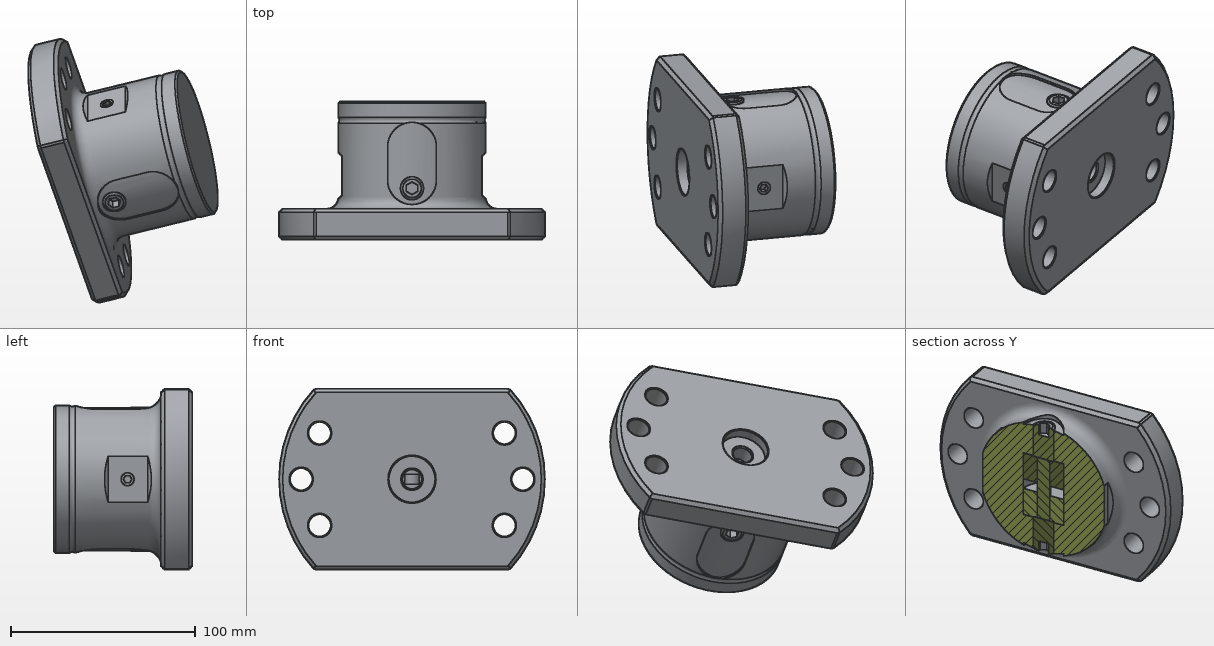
import cadquery as cq
import math

length = 75.0

flange_radius = 72.0
flange_height = 98.0
flange_thickness = 17.0
flange_chamfer = 2.0
flange_corner_chamfer = 0.8

bolt_hole_diameter = 12.0
bolt_hole_chamfer = 0.5
bolt_hole_places = [(50, 25), (60, 0), (50, -25)]

barrel_radius = 40.0
barrel_root_fillet = 6.0
barrel_chamfer = 1.0

groove_width = 3.2
groove_depth = 0.55
groove_position = 64.9

recess_diameter = 25.0
recess_depth = 6.0
recess_chamfer = 0.5
bore_diameter = 10.5
bore_chamfer = 0.75

clamp_position = 28.0
jaw_diameter = 25.0
jaw_gap = 5.6
jaw_height = 16.0
cavity_height = jaw_gap + 2 * jaw_height
spindle_diameter = 8.0

oval_width = 26.4
oval_length = 44.5
oval_position = 41.45
oval_floor_radius = 38.75
clamp_screw_diameter = 12.5
clamp_screw_tip_diameter = 10.0
clamp_screw_end = 38.95
clamp_screw_chamfer_height = 0.9
clamp_screw_hex = 6.0
clamp_screw_hex_depth = 6.0
clamp_screw_start = cavity_height / 2

flat_position = 34.85
flat_length = 21.3
flat_distance = 38.0
set_screw_position = 35.0
set_screw_diameter = 7.0
set_screw_length = 12.0
set_screw_hex = 4.0
set_screw_hex_depth = 4.0


def y_cylinder(diameter, start, end):
    """Cylinder on the main axis from Y = start to Y = end."""
    plane = cq.Workplane("XZ", origin=(0, start, 0))
    return plane.circle(diameter / 2).extrude(start - end)


def z_cylinder(diameter, position, start, end):
    """Upright cylinder at Y = position, from Z = start to Z = end."""
    plane = cq.Workplane("XY", origin=(0, position, start))
    return plane.circle(diameter / 2).extrude(end - start)


def x_cylinder(diameter, position, start, end):
    """Cylinder along X at Y = position, from X = start to X = end."""
    plane = cq.Workplane("YZ", origin=(start, position, 0))
    return plane.circle(diameter / 2).extrude(end - start)


def y_countersink(diameter, chamfer, start):
    """Cone that chamfers the rim of a hole whose mouth lies at Y = start."""
    return cq.Workplane(
        cq.Solid.makeCone(
            diameter / 2 + chamfer, diameter / 2, chamfer, cq.Vector(0, start, 0), cq.Vector(0, 1, 0)
        )
    )


def half_turn(body):
    """Copy of a body on the opposite side of the main axis."""
    return body.rotate((0, 0, 0), (0, 1, 0), 180)


def hex_corner_diameter(across_flats):
    return across_flats / math.cos(math.pi / 6)


def make_flange():
    disc = y_cylinder(2 * flange_radius, 0, flange_thickness)
    bar = cq.Workplane("XY").box(2 * flange_radius, 2 * flange_thickness, flange_height)
    flange = disc.intersect(bar)
    flange = flange.edges("|Y").edges("<Z or >Z").chamfer(flange_corner_chamfer)
    return flange.faces("<Y or >Y").edges().chamfer(flange_chamfer)


def make_barrel():
    """Barrel with the hollow fillet at its root, as a revolved half section."""
    root_end = flange_thickness + barrel_root_fillet
    root_radius = barrel_radius + barrel_root_fillet
    sag = barrel_root_fillet * math.sqrt(0.5)
    return (
        cq.Workplane("XY")
        .moveTo(0, 0)
        .lineTo(root_radius, 0)
        .lineTo(root_radius, flange_thickness)
        .threePointArc((root_radius - sag, root_end - sag), (barrel_radius, root_end))
        .lineTo(barrel_radius, length - barrel_chamfer)
        .lineTo(barrel_radius - barrel_chamfer, length)
        .lineTo(0, length)
        .close()
        .revolve(360, (0, 0, 0), (0, 1, 0))
    )


def make_bolt_holes():
    hole = y_cylinder(bolt_hole_diameter, 0, flange_thickness)
    hole = hole.union(y_countersink(bolt_hole_diameter, bolt_hole_chamfer, 0))
    holes = cq.Workplane()
    for x, z in bolt_hole_places:
        for side in (-1, 1):
            holes = holes.add(hole.translate((side * x, 0, z)))
    return holes.combine()


def make_centre_bore():
    recess = y_cylinder(recess_diameter, 0, recess_depth)
    recess = recess.union(y_countersink(recess_diameter, recess_chamfer, 0))
    bore = y_cylinder(bore_diameter, recess_depth, clamp_position)
    bore = bore.union(y_countersink(bore_diameter, bore_chamfer, recess_depth))
    return recess.union(bore)


def make_barrel_groove():
    """Ring with the arc-shaped groove section."""
    half = groove_width / 2
    return (
        cq.Workplane("XY")
        .moveTo(barrel_radius, groove_position - half)
        .threePointArc(
            (barrel_radius - groove_depth, groove_position), (barrel_radius, groove_position + half)
        )
        .close()
        .revolve(360, (0, 0, 0), (0, 1, 0))
    )


def make_oval_recess():
    """Oval pocket above the barrel, with a floor concentric with the barrel."""
    oval = (
        cq.Workplane("XY", origin=(0, oval_position, 0))
        .slot2D(oval_length, oval_width, 90)
        .extrude(barrel_radius + barrel_root_fillet)
    )
    return oval.cut(y_cylinder(2 * oval_floor_radius, 0, length))


def make_flat():
    """Cutter for the flat on the +X side, whose two ends rise at 45 degrees."""
    height = barrel_root_fillet
    half = flat_length / 2
    return (
        cq.Workplane("XY", origin=(flat_distance, flat_position, 0))
        .polyline([(0, -half), (0, half), (height, half + height), (height, -half - height)])
        .close()
        .extrude(barrel_radius, both=True)
    )


def make_housing():
    screw_hole = z_cylinder(clamp_screw_diameter, clamp_position, clamp_screw_start, barrel_radius)
    set_screw_hole = x_cylinder(
        set_screw_diameter, set_screw_position, flat_distance - set_screw_length, flat_distance
    )
    housing = make_flange().union(make_barrel())
    housing = housing.cut(make_bolt_holes()).cut(make_centre_bore()).cut(make_barrel_groove())
    housing = housing.cut(z_cylinder(jaw_diameter, clamp_position, -cavity_height / 2, cavity_height / 2))
    for cutter in (make_oval_recess(), make_flat(), screw_hole, set_screw_hole):
        housing = housing.cut(cutter).cut(half_turn(cutter))
    return housing


def make_jaw():
    """Upper clamping jaw with the spindle hole through it."""
    bottom = jaw_gap / 2
    top = cavity_height / 2
    jaw = z_cylinder(jaw_diameter, clamp_position, bottom, top)
    return jaw.cut(z_cylinder(spindle_diameter, clamp_position, bottom, top))


def make_spindle():
    return z_cylinder(spindle_diameter, clamp_position, -cavity_height / 2, cavity_height / 2)


def make_clamp_screw():
    """Upper clamping screw with a tapered end and a hexagon socket."""
    taper_start = clamp_screw_end - clamp_screw_chamfer_height
    taper = cq.Solid.makeCone(
        clamp_screw_diameter / 2,
        clamp_screw_tip_diameter / 2,
        clamp_screw_chamfer_height,
        cq.Vector(0, clamp_position, taper_start),
    )
    socket = (
        cq.Workplane("XY", origin=(0, clamp_position, clamp_screw_end))
        .transformed(rotate=(0, 0, 90))
        .polygon(6, hex_corner_diameter(clamp_screw_hex))
        .extrude(-clamp_screw_hex_depth)
    )
    shank = z_cylinder(clamp_screw_diameter, clamp_position, clamp_screw_start, taper_start)
    return shank.union(cq.Workplane(taper)).cut(socket)


def make_set_screw():
    """Set screw on the +X side, flush with the flat, with a hexagon socket."""
    socket = (
        cq.Workplane("YZ", origin=(flat_distance, set_screw_position, 0))
        .polygon(6, hex_corner_diameter(set_screw_hex))
        .extrude(-set_screw_hex_depth)
    )
    screw = x_cylinder(
        set_screw_diameter, set_screw_position, flat_distance - set_screw_length, flat_distance
    )
    return screw.cut(socket)


housing = make_housing()
spindle = make_spindle()
jaw = make_jaw()
clamp_screw = make_clamp_screw()
set_screw = make_set_screw()

bodies = [housing.val(), spindle.val()]
for paired_body in (jaw, clamp_screw, set_screw):
    bodies += [paired_body.val(), half_turn(paired_body).val()]

result = cq.Compound.makeCompound(bodies)